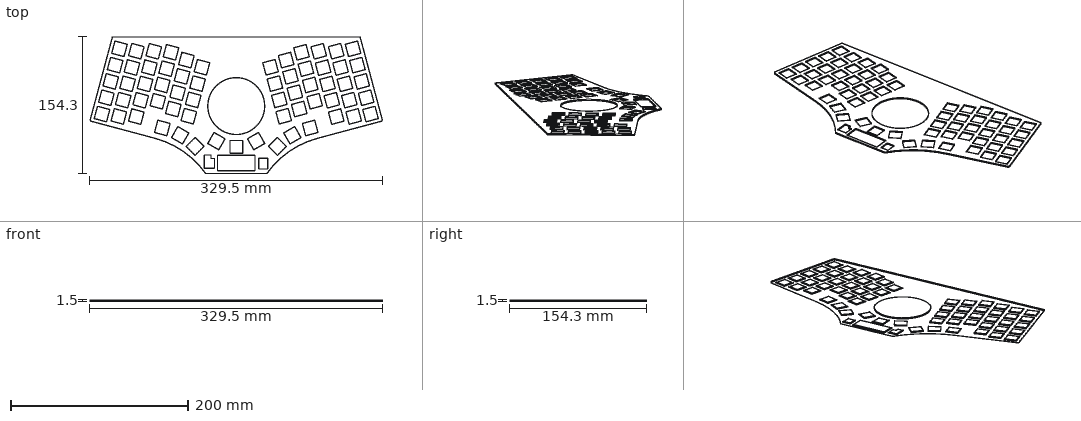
import cadquery as cq
import math

LENGTH = 329.5
DEPTH = 154.3
THICKNESS = 1.5

TILT = 15.0
SIDE_CORNER_Y = -17.8
CORNER_RADIUS = 2.0
CURVE_START_X = 92.3
CURVE_MID = (57.7, -53.7)
FOOT_HALF_WIDTH = 34.5

INNER_COLUMN_U = 48.5
OUTER_COLUMN_U = 143.7
KEY_GAP = 5.0
COLUMNS = [(31.3, 4), (34.5, 4), (38.5, 4), (34.5, 5), (29.5, 5), (27.5, 5)]
KEY_PITCH = (OUTER_COLUMN_U - INNER_COLUMN_U) / (len(COLUMNS) - 1)
KEY_SIZE = KEY_PITCH - KEY_GAP
THUMB_KEYS = [(83.5, -25.7, 15), (63.3, -34.0, 30), (46.5, -46.5, 45), (22.5, -40.5, 30)]
MIDDLE_KEY_Y = -47.0

BALL_DIAMETER = 64.0
BALL_Y = -1.0

DISPLAY_SIZE = (42.2, 17.0)
DISPLAY_Y = -65.3
RIGHT_WINDOW_SIZE = (10.0, 12.0)
RIGHT_WINDOW_CENTRE = (30.3, -66.0)
LEFT_WINDOW_SIZE = (11.5, 14.5)
LEFT_WINDOW_CENTRE = (-30.3, -63.5)
NOTCH_SIZE = (4.0, 4.0)

SIN_TILT = math.sin(math.radians(TILT))
COS_TILT = math.cos(math.radians(TILT))
TAN_TILT = math.tan(math.radians(TILT))


def make_plate():
    top = DEPTH / 2
    side = LENGTH / 2 + CORNER_RADIUS * (COS_TILT + SIN_TILT - 1)
    top_half_width = side - (top - SIDE_CORNER_Y) * TAN_TILT
    curve_start_y = SIDE_CORNER_Y - (side - CURVE_START_X) * TAN_TILT
    mid_x, mid_y = CURVE_MID
    return (
        cq.Workplane("XY")
        .moveTo(-top_half_width, top)
        .lineTo(top_half_width, top)
        .lineTo(side, SIDE_CORNER_Y)
        .lineTo(CURVE_START_X, curve_start_y)
        .threePointArc((mid_x, mid_y), (FOOT_HALF_WIDTH, -top))
        .lineTo(-FOOT_HALF_WIDTH, -top)
        .threePointArc((-mid_x, mid_y), (-CURVE_START_X, curve_start_y))
        .lineTo(-side, SIDE_CORNER_Y)
        .close()
        .extrude(THICKNESS)
        .edges("|Z")
        .edges("<X or >X")
        .fillet(CORNER_RADIUS)
    )


def window(x, y, width, height, angle=0):
    return (
        cq.Workplane("XY")
        .rect(width, height)
        .extrude(THICKNESS)
        .rotate((0, 0, 0), (0, 0, 1), angle)
        .translate((x, y, 0))
    )


def key_places():
    """Centre and rotation of every key on the +X half."""
    places = list(THUMB_KEYS)
    for column, (top_v, count) in enumerate(COLUMNS):
        u = INNER_COLUMN_U + column * KEY_PITCH
        for row in range(count):
            v = top_v - row * KEY_PITCH
            x = u * COS_TILT - v * SIN_TILT
            y = u * SIN_TILT + v * COS_TILT
            places.append((x, y, TILT))
    return places


def notched_window():
    x, y = LEFT_WINDOW_CENTRE
    width, height = LEFT_WINDOW_SIZE
    notch_width, notch_height = NOTCH_SIZE
    notch = window(
        x + (width - notch_width) / 2,
        y + (height - notch_height) / 2,
        notch_width,
        notch_height,
    )
    return window(x, y, width, height).cut(notch)


def make_openings():
    openings = [
        cq.Workplane("XY").center(0, BALL_Y).circle(BALL_DIAMETER / 2).extrude(THICKNESS),
        window(0, MIDDLE_KEY_Y, KEY_SIZE, KEY_SIZE),
        window(0, DISPLAY_Y, *DISPLAY_SIZE),
        window(*RIGHT_WINDOW_CENTRE, *RIGHT_WINDOW_SIZE),
        notched_window(),
    ]
    for x, y, angle in key_places():
        openings.append(window(x, y, KEY_SIZE, KEY_SIZE, angle))
        openings.append(window(-x, y, KEY_SIZE, KEY_SIZE, -angle))
    return [opening.val() for opening in openings]


result = cq.Workplane("XY").newObject([make_plate().val().cut(*make_openings())])